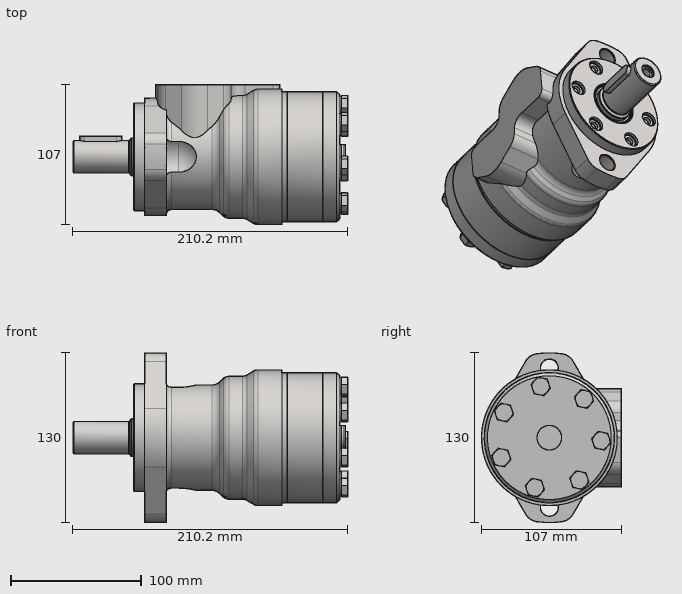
import cadquery as cq
import math


collar_start = 43.0
disc_front = 46.2
flange_front = 54.9
flange_rear = 71.5
housing_rear = 159.8
plate_rear = 163.5
ring_rear = 191.0
cover_rear = 204.0
motor_length = 210.2

flange_side_radius = 45.0
flange_tip_radius = 65.0
flange_corner_radius = 12.0
flange_side_angle = math.radians(30)
mount_hole_diameter = 13.5
mount_hole_mouth = 14.7
mount_hole_offset = 53.2
pilot_diameter = 82.6
pilot_chamfer = 0.6
seal_recess_steps = ((36.0, 0.5), (34.3, 0.8), (32.5, 1.7))

disc_hole_count = 6
disc_hole_circle_radius = 32.5
disc_hole_diameter = 12.0
disc_hole_depth = 2.0
disc_step_diameter = 10.0
disc_step_depth = 2.3
disc_drill_diameter = 6.0
disc_drill_depth = 5.0

neck_radius = 40.4
shoulder_radius = 47.0
rear_radius = 52.0
neck_root_rise = 2.7
neck_start = 75.5
neck_end = 106.4
shoulder_start = 119.2
shoulder_end = 129.5
rim_start = 141.3
neck_root_middle = (73.0, 41.2)
front_cone_start = (112.0, 42.7)
front_cone_end = (115.0, 45.5)
rear_cone_start = (132.8, 48.0)
rear_cone_end = (138.0, 51.0)
relief_radius = 18.7
relief_straight_end = 80.7

port_face = 55.0
block_front = 63.0
block_rear = 158.0
boss_centre = 93.0
web_half_thickness = 5.3
web_blend_start = 121.0
web_blend_top = 13.2
web_blend_end = 131.4
crown_edge = (10.0, 34.9)
slope_foot = (22.0, 28.0)
flank_top = (28.0, 19.1)

gear_radius = 49.8
edge_chamfer = 0.5
cover_chamfer = 2.5
screw_count = 7
screw_circle_radius = 39.7
screw_start_angle = -3.3
screw_hex_flats = 13.0
screw_hex_sides = 6
screw_hex_turn = 108
screw_washer_diameter = 13.0
screw_washer_thickness = 1.0
screw_chamfer = 0.6
plug_diameter = 19.0
plug_end_diameter = 18.7
plug_band_start = 205.2
plug_band_end = 207.0
plug_end = 208.3

shaft_diameter = 25.0
shaft_chamfer = 0.8
shaft_groove_diameter = 24.5
shaft_groove_start = 42.5
collar_diameter = 28.5
collar_land_diameter = 29.0
collar_land_start = 45.2
collar_cone_end = 44.4
shaft_inner_end = 69.4
centre_bore_mouth = 11.4
centre_bore_diameter = 10.0
centre_bore_depth = 2.0
centre_drill_diameter = 7.0
centre_drill_depth = 16.8
drill_point_depth = 2.0
key_start = 5.0
key_end = 37.5
key_width = 8.0
key_top = 15.8
key_height = 7.0


def cylinder(start, end, diameter, y=0, z=0):
    """Cylinder along X between two stations."""
    axis_point = cq.Vector(start, y, z)
    return cq.Workplane(cq.Solid.makeCylinder(diameter / 2, end - start, axis_point, cq.Vector(1, 0, 0)))


def cone(start, end, start_diameter, end_diameter, y=0, z=0):
    """Cone along X between two stations."""
    axis_point = cq.Vector(start, y, z)
    direction = cq.Vector(1, 0, 0)
    return cq.Workplane(
        cq.Solid.makeCone(start_diameter / 2, end_diameter / 2, end - start, axis_point, direction)
    )


def flange():
    """Two-eared flange: side arcs, straight tangents at 30 degrees, rounded corners and tip arcs."""
    inner_normal = flange_side_radius - flange_corner_radius
    inner_tip = flange_tip_radius - flange_corner_radius
    corner_angle = flange_side_angle + math.acos(inner_normal / inner_tip)
    corner_y = inner_tip * math.cos(corner_angle)
    corner_z = inner_tip * math.sin(corner_angle)
    side = (
        flange_side_radius * math.cos(flange_side_angle),
        flange_side_radius * math.sin(flange_side_angle),
    )
    corner_low = (
        corner_y + flange_corner_radius * math.cos(flange_side_angle),
        corner_z + flange_corner_radius * math.sin(flange_side_angle),
    )
    corner_high = (
        flange_tip_radius * math.cos(corner_angle),
        flange_tip_radius * math.sin(corner_angle),
    )
    corner_middle_angle = (flange_side_angle + corner_angle) / 2
    corner_middle = (
        corner_y + flange_corner_radius * math.cos(corner_middle_angle),
        corner_z + flange_corner_radius * math.sin(corner_middle_angle),
    )
    outline = cq.Workplane("YZ", origin=(flange_front, 0, 0)).moveTo(side[0], -side[1])
    for turn in (1, -1):
        outline = (
            outline.threePointArc((turn * flange_side_radius, 0), (turn * side[0], turn * side[1]))
            .lineTo(turn * corner_low[0], turn * corner_low[1])
            .threePointArc(
                (turn * corner_middle[0], turn * corner_middle[1]),
                (turn * corner_high[0], turn * corner_high[1]),
            )
            .threePointArc((0, turn * flange_tip_radius), (-turn * corner_high[0], turn * corner_high[1]))
            .threePointArc(
                (-turn * corner_middle[0], turn * corner_middle[1]),
                (-turn * corner_low[0], turn * corner_low[1]),
            )
            .lineTo(-turn * side[0], turn * side[1])
        )
    return outline.close().extrude(flange_rear - flange_front)


def turned_body():
    """Neck, shoulder and rear rim, joined by blended cones."""
    root_radius = neck_radius + neck_root_rise
    profile = (
        cq.Workplane("XY")
        .moveTo(flange_front, 0)
        .lineTo(flange_front, root_radius)
        .lineTo(flange_rear, root_radius)
        .threePointArc(neck_root_middle, (neck_start, neck_radius))
        .lineTo(neck_end, neck_radius)
        .tangentArcPoint(front_cone_start, relative=False)
        .lineTo(*front_cone_end)
        .tangentArcPoint((shoulder_start, shoulder_radius), relative=False)
        .lineTo(shoulder_end, shoulder_radius)
        .tangentArcPoint(rear_cone_start, relative=False)
        .lineTo(*rear_cone_end)
        .tangentArcPoint((rim_start, rear_radius), relative=False)
        .lineTo(housing_rear, rear_radius)
        .lineTo(housing_rear, 0)
        .close()
    )
    return profile.revolve(360, (0, 0, 0), (1, 0, 0))


def port_block():
    """Two round-topped bosses and their webs; the outline repeats after half a turn."""
    middle_x = (block_front + block_rear) / 2

    def place(x, z, turn):
        """The point itself for turn = 1, or moved by half a turn about the block centre for -1."""
        return (middle_x + turn * (x - middle_x), turn * z)

    half_outline = (
        ((boss_centre - flank_top[0], flank_top[1]), (boss_centre - slope_foot[0], slope_foot[1])),
        ((boss_centre - crown_edge[0], crown_edge[1]), (boss_centre + crown_edge[0], crown_edge[1])),
        ((boss_centre + slope_foot[0], slope_foot[1]), (boss_centre + flank_top[0], flank_top[1])),
        ((web_blend_start, web_blend_top), (web_blend_end, web_half_thickness)),
        ((block_rear - web_half_thickness, web_half_thickness), (block_rear, 0)),
    )
    outline = cq.Workplane("XZ").moveTo(block_front, 0)
    for turn in (1, -1):
        for line_end, arc_end in half_outline:
            outline = outline.lineTo(*place(*line_end, turn))
            outline = outline.tangentArcPoint(place(*arc_end, turn), relative=False)
    return outline.close().extrude(-port_face)


def mount_relief(z):
    """Round-ended clearance in the neck behind a mounting hole."""
    arc_offset = relief_radius * math.sqrt(0.5)
    arc_middle = (relief_straight_end + arc_offset, arc_offset)
    arc_end = (relief_straight_end + relief_radius, 0)
    profile = (
        cq.Workplane("XY", origin=(0, 0, z))
        .moveTo(flange_rear, 0)
        .lineTo(flange_rear, relief_radius)
        .lineTo(relief_straight_end, relief_radius)
        .threePointArc(arc_middle, arc_end)
        .close()
    )
    return profile.revolve(360, (0, 0, 0), (1, 0, 0))


def mount_hole(z):
    """Mounting hole through the flange, countersunk in front."""
    sink_depth = (mount_hole_mouth - mount_hole_diameter) / 2
    sink = cone(flange_front, flange_front + sink_depth, mount_hole_mouth, mount_hole_diameter, z=z)
    return cylinder(flange_front, flange_rear, mount_hole_diameter, z=z).union(sink)


def disc_hole(angle):
    """Stepped blind hole in the pilot disc."""
    y = disc_hole_circle_radius * math.cos(angle)
    z = disc_hole_circle_radius * math.sin(angle)
    hole = cylinder(disc_front, disc_front + disc_hole_depth, disc_hole_diameter, y, z)
    for diameter, depth in ((disc_step_diameter, disc_step_depth), (disc_drill_diameter, disc_drill_depth)):
        hole = hole.union(cylinder(disc_front, disc_front + depth, diameter, y, z))
    return hole


def make_housing():
    """Flanged housing with its port block and the blind seat of the shaft."""
    pilot = cylinder(disc_front, flange_front, pilot_diameter).faces("<X").chamfer(pilot_chamfer)
    body = turned_body().union(flange()).union(pilot).union(port_block())
    for side in (1, -1):
        body = body.cut(mount_relief(side * mount_hole_offset))
        body = body.cut(mount_hole(side * mount_hole_offset))
    for index in range(disc_hole_count):
        body = body.cut(disc_hole(2 * math.pi * index / disc_hole_count))
    for diameter, depth in seal_recess_steps:
        body = body.cut(cylinder(disc_front, disc_front + depth, diameter))
    return body.cut(cylinder(disc_front, shaft_inner_end, collar_land_diameter))


def make_key():
    """Round-ended key standing out of the shaft on the +Y side."""
    return (
        cq.Workplane("XZ", origin=((key_start + key_end) / 2, key_top, 0))
        .slot2D(key_end - key_start, key_width)
        .extrude(key_height)
    )


def make_shaft(key):
    """Stepped shaft with a seal collar, a centre bore and the key's seat."""
    shaft = cylinder(0, shaft_inner_end, shaft_diameter).faces("<X").chamfer(shaft_chamfer)
    collar = cone(collar_start, collar_cone_end, shaft_diameter, collar_diameter)
    collar = collar.union(cylinder(collar_cone_end, collar_land_start, collar_diameter))
    land = cylinder(collar_land_start, shaft_inner_end, collar_land_diameter)
    groove = cylinder(shaft_groove_start, collar_start, shaft_diameter)
    groove = groove.cut(cylinder(shaft_groove_start, collar_start, shaft_groove_diameter))
    shaft = shaft.cut(groove).union(collar).union(land)
    shaft = shaft.cut(cylinder(0, centre_bore_depth, centre_bore_diameter))
    mouth_depth = (centre_bore_mouth - centre_bore_diameter) / 2
    shaft = shaft.cut(cone(0, mouth_depth, centre_bore_mouth, centre_bore_diameter))
    shaft = shaft.cut(cylinder(0, centre_drill_depth, centre_drill_diameter))
    drill_tip = centre_drill_depth + drill_point_depth
    shaft = shaft.cut(cone(centre_drill_depth, drill_tip, centre_drill_diameter, 0))
    return shaft.cut(key)


def make_plate():
    """Thin plate between the housing and the gear ring."""
    return cylinder(housing_rear, plate_rear, 2 * gear_radius)


def make_gear_ring():
    """Gear ring with both rims chamfered."""
    return cylinder(plate_rear, ring_rear, 2 * gear_radius).faces("<X or >X").chamfer(edge_chamfer)


def screw_head(angle):
    """Hexagon head on a round washer face; every head has the same orientation."""
    y = screw_circle_radius * math.cos(angle)
    z = screw_circle_radius * math.sin(angle)
    head_start = cover_rear + screw_washer_thickness
    corner_diameter = screw_hex_flats / math.cos(math.pi / 6)
    hexagon = (
        cq.Workplane("YZ")
        .polygon(screw_hex_sides, corner_diameter)
        .extrude(motor_length - head_start)
        .rotate((0, 0, 0), (1, 0, 0), screw_hex_turn)
        .translate((head_start, y, z))
    )
    turned_blank = cylinder(head_start, motor_length, corner_diameter, y, z)
    turned_blank = turned_blank.faces(">X").chamfer(screw_chamfer)
    washer = cylinder(cover_rear, head_start, screw_washer_diameter, y, z)
    return hexagon.intersect(turned_blank).union(washer)


def make_end_cover():
    """End cover with its central plug and a circle of screw heads."""
    cover = cylinder(ring_rear, cover_rear, 2 * gear_radius).faces(">X").chamfer(cover_chamfer)
    cover = cover.union(cylinder(cover_rear, plug_end, plug_end_diameter))
    cover = cover.union(cylinder(plug_band_start, plug_band_end, plug_diameter))
    for index in range(screw_count):
        angle = math.radians(screw_start_angle + 360 * index / screw_count)
        cover = cover.union(screw_head(angle))
    return cover


housing = make_housing()
key = make_key()
shaft = make_shaft(key)
plate = make_plate()
gear_ring = make_gear_ring()
end_cover = make_end_cover()

result = cq.Compound.makeCompound(
    [housing.val(), shaft.val(), key.val(), plate.val(), gear_ring.val(), end_cover.val()]
)